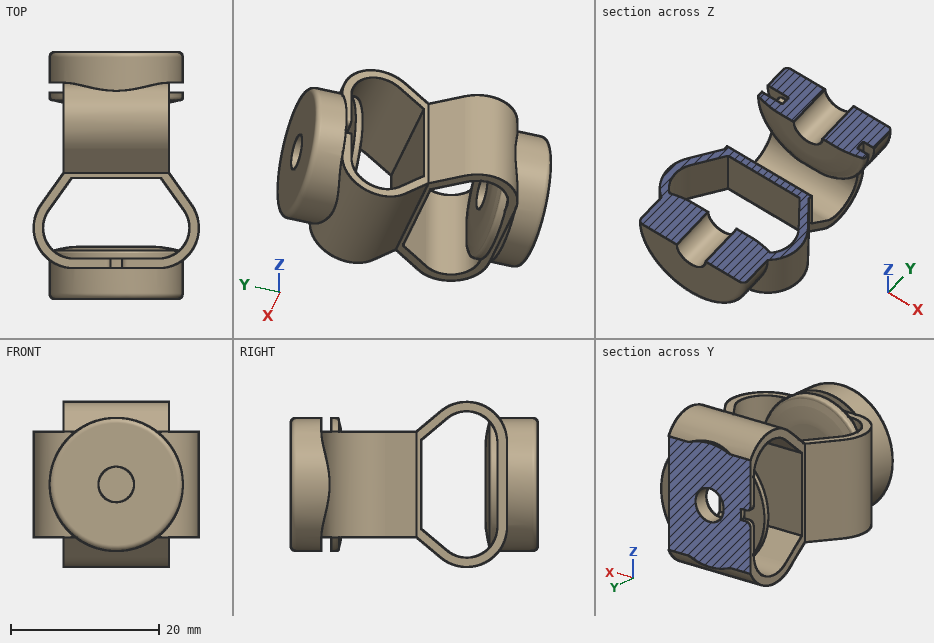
import cadquery as cq
import math

LENGTH = 33.4
LOOP_SPAN = 22.35

STRAP_WIDTH = 14.3
STRAP_THICKNESS = 1.3
WEB_CENTRE_Y = 0.3
BEND_RADIUS = 5.45

SLIT_WIDTH = 1.55
SLIT_MOUTH_RADIUS = 0.77

BUTTON_DIAMETER = 18.0
BUTTON_RADIUS = BUTTON_DIAMETER / 2
CAP_HEIGHT = 4.18
CAP_ROUND = 0.75
HUB_RADIUS = 5.5
BORE_RADIUS = 2.4
PLATE_HEIGHT = 1.07
PLATE_ROUND = 0.37
DOME_BASE_RADIUS = 8.5
DOME_HEIGHT = 0.55
DOME_FLAT_RADIUS = 5.1
DOME_CONE_ANGLE = 14.0

CAP_END = LENGTH / 2
STRAP_OUTSIDE = CAP_END - CAP_HEIGHT
STRAP_INSIDE = STRAP_OUTSIDE - STRAP_THICKNESS
BEND_CENTRE = STRAP_OUTSIDE - BEND_RADIUS
BEND_OFFSET = LOOP_SPAN / 2 - BEND_RADIUS
PLATE_TOP = STRAP_INSIDE - PLATE_HEIGHT


def loop_outline(web_middle, inset):
    """Loop outline moved inward by inset; its web edge runs through web_middle when inset is 0."""
    radius = BEND_RADIUS - inset
    end = STRAP_OUTSIDE - inset

    corner_x = STRAP_WIDTH / 2
    run_x = BEND_OFFSET - corner_x
    run_y = BEND_CENTRE - web_middle
    toward_centre = math.atan2(run_y, run_x)
    side_angle = toward_centre - math.asin(BEND_RADIUS / math.hypot(run_x, run_y))
    normal_angle = side_angle - math.pi / 2
    tangent_x = BEND_OFFSET + radius * math.cos(normal_angle)
    tangent_y = BEND_CENTRE + radius * math.sin(normal_angle)

    web_y = web_middle + inset / 2
    web_x = tangent_x - (tangent_y - web_y) / math.tan(side_angle)

    mid_angle = (normal_angle + math.pi / 2) / 2
    mid_x = BEND_OFFSET + radius * math.cos(mid_angle)
    mid_y = BEND_CENTRE + radius * math.sin(mid_angle)
    return (
        cq.Workplane("XY")
        .moveTo(-web_x, web_y)
        .lineTo(web_x, web_y)
        .lineTo(tangent_x, tangent_y)
        .threePointArc((mid_x, mid_y), (BEND_OFFSET, end))
        .lineTo(-BEND_OFFSET, end)
        .threePointArc((-mid_x, mid_y), (-tangent_x, tangent_y))
        .close()
    )


def across_strap(outline):
    """Extrude a loop outline over the strap width, centred on the outline plane."""
    return outline.extrude(STRAP_WIDTH / 2, both=True)


def make_slit():
    """Slit from the hub hole to the +Z edge of the strap, with a rounded mouth."""
    half = SLIT_WIDTH / 2
    edge = STRAP_WIDTH / 2
    mouth_half = half + SLIT_MOUTH_RADIUS
    round_start = edge - SLIT_MOUTH_RADIUS
    chord = SLIT_MOUTH_RADIUS * math.sqrt(0.5)
    round_mid = (mouth_half - chord, round_start + chord)
    return (
        cq.Workplane("XZ", origin=(0, STRAP_OUTSIDE, 0))
        .moveTo(-half, 0)
        .lineTo(half, 0)
        .lineTo(half, round_start)
        .threePointArc(round_mid, (mouth_half, edge))
        .lineTo(-mouth_half, edge)
        .threePointArc((-round_mid[0], round_mid[1]), (-half, round_start))
        .close()
        .extrude(STRAP_THICKNESS)
    )


def disc(radius, start, end):
    """Solid disc about the Y axis from y = start to y = end."""
    return cq.Workplane("XZ", origin=(0, end, 0)).circle(radius).extrude(end - start)


def make_cap(loop_body):
    """Outer cap with a rounded rim; under it, the strap width is filled down to the bent strap."""
    cap = disc(BUTTON_RADIUS, STRAP_OUTSIDE, CAP_END).faces(">Y").edges().fillet(CAP_ROUND)
    saddle = (
        disc(BUTTON_RADIUS, BEND_CENTRE, STRAP_OUTSIDE)
        .intersect(cq.Workplane("XY").box(BUTTON_DIAMETER, LENGTH, STRAP_WIDTH))
        .cut(loop_body)
    )
    return cap.union(saddle)


def make_inner_plate():
    """Retaining plate with a rounded rim and a low dome, revolved about the Y axis."""
    slope = math.radians(DOME_CONE_ANGLE)
    dome_top = PLATE_TOP - DOME_HEIGHT
    skirt_rise = (DOME_BASE_RADIUS - DOME_FLAT_RADIUS) * math.tan(slope)
    arc_radius = (skirt_rise - DOME_HEIGHT) / (1 / math.cos(slope) - 1)
    arc_end = (
        DOME_FLAT_RADIUS + arc_radius * math.sin(slope),
        dome_top + arc_radius * (1 - math.cos(slope)),
    )
    arc_mid = (
        DOME_FLAT_RADIUS + arc_radius * math.sin(slope / 2),
        dome_top + arc_radius * (1 - math.cos(slope / 2)),
    )
    dome = (
        cq.Workplane("XY")
        .moveTo(0, PLATE_TOP)
        .lineTo(DOME_BASE_RADIUS, PLATE_TOP)
        .lineTo(*arc_end)
        .threePointArc(arc_mid, (DOME_FLAT_RADIUS, dome_top))
        .lineTo(0, dome_top)
        .close()
        .revolve(360, (0, 0, 0), (0, 1, 0))
    )
    plate = disc(BUTTON_RADIUS, PLATE_TOP, STRAP_INSIDE).faces("<Y").edges().fillet(PLATE_ROUND)
    return plate.union(dome)


def make_half(web_middle):
    """One loop with its button, pointing along +Y, the slit opening toward +Z."""
    loop_body = across_strap(loop_outline(web_middle, 0))
    opening = across_strap(loop_outline(web_middle, STRAP_THICKNESS))
    strap = loop_body.cut(opening).cut(make_slit())
    hub = disc(HUB_RADIUS, STRAP_INSIDE, STRAP_OUTSIDE)
    bore = disc(BORE_RADIUS, BEND_CENTRE, CAP_END)
    return strap.union(hub).union(make_cap(loop_body)).union(make_inner_plate()).cut(bore)


back_half = make_half(WEB_CENTRE_Y).rotate((0, 0, 0), (0, 1, 0), -90)
front_half = make_half(-WEB_CENTRE_Y).rotate((0, 0, 0), (0, 0, 1), 180)
result = back_half.union(front_half)